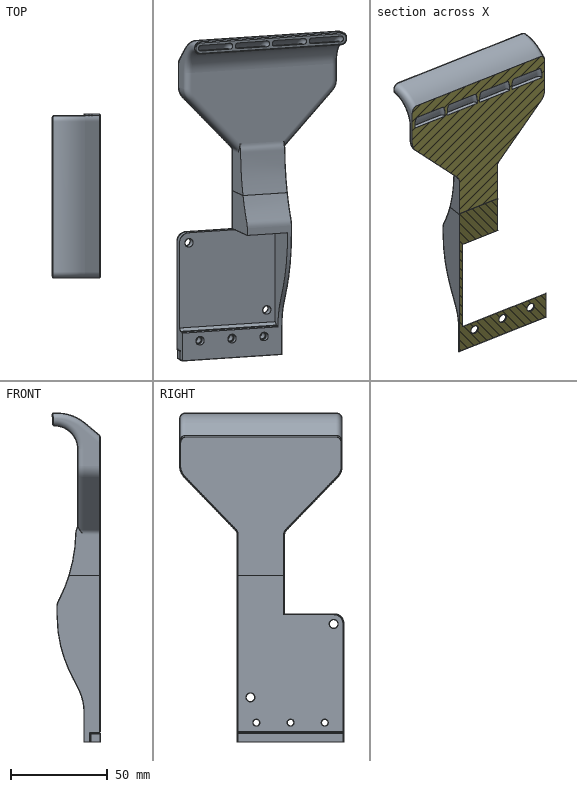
import cadquery as cq
import math


edge_chamfer = 0.5
clearance = 0.5
neck_width = 24.5
neck_center = neck_width / 2
split_height = 86.2

neck_depth = 12.7
neck_curve_radius = 78.2
neck_curve_top = 109.3
neck_curve_end = 73.0
crest_bottom = 69.9

bar_depth = 5.0
bar_height = 4.5

housing_width = 55.0
side_wall = 2.2
plate_depth = 4.5
plate_top = 66.3
plate_corner_radius = 5.0
belly_middle = (-14.5, 33.5)
foot_depth = 8.5
foot_top = 15.1
foot_slope = 1.5
plate_hole_diameter = 4.5
plate_hole_places = [(49.8, 61.0), (6.8, 23.1)]
screw_hole_diameter = 3.4
screw_hole_mouth = 4.5
screw_mouth_depth = foot_depth - bar_depth - clearance
screw_hole_pitch = 17.7
screw_hole_height = 10.0
screw_hole_count = 3

paddle_width = 84.0
paddle_depth = 11.7
paddle_bottom = 108.5
paddle_shoulder = 139.2
paddle_corner_radius = 8.3
round_edge = 3.0
stub_bottom = paddle_bottom - round_edge

step_top = 112.4
step_middle = 110.3
step_bottom = 107.8

nozzle_reach = 25.0
nozzle_top = 170.0
lip_center_height = 151.3
lip_inner_radius = 12.0
lip_outer_radius = 22.8
lip_slope = math.radians(40.0)
lip_back_height = 158.0

slot_count = 4
slot_pitch = 20.4
slot_length = 18.9
slot_height = 3.0
slot_path_radius = 15.3
slot_turn = 90.0
slot_lead = 10.0


def neck_front(height):
    """X of the neck's front curve at a height."""
    drop = neck_curve_top - height
    bulge = neck_curve_radius - math.sqrt(neck_curve_radius**2 - drop**2)
    return -neck_depth - bulge


def side_profile(y):
    """Sketch plane with local x along +X and local y along +Z, placed at y and facing -Y."""
    return cq.Workplane(cq.Plane(origin=(0, y, 0), xDir=(1, 0, 0), normal=(0, -1, 0)))


def front_outline(x):
    """Sketch plane with local x along +Y and local y along +Z, extruding toward +X from x."""
    return cq.Workplane(cq.Plane(origin=(x, 0, 0), xDir=(0, 1, 0), normal=(1, 0, 0)))


neck_end_sine = (neck_curve_top - neck_curve_end) / neck_curve_radius
crest_radius = (neck_curve_end - crest_bottom) / neck_end_sine
crest_x = neck_front(neck_curve_end) - crest_radius * (1 - math.sqrt(1 - neck_end_sine**2))


def make_neck_block():
    """Lower end of the neck, from the split down past the crest to the top of the plate."""
    middle = (split_height + neck_curve_end) / 2
    neck_end = (neck_front(neck_curve_end), neck_curve_end)
    return (
        side_profile(0)
        .moveTo(0, plate_top)
        .lineTo(0, split_height)
        .lineTo(neck_front(split_height), split_height)
        .threePointArc((neck_front(middle), middle), neck_end)
        .tangentArcPoint((crest_x, crest_bottom), relative=False)
        .lineTo(crest_x, plate_top)
        .close()
        .extrude(-neck_width)
    )


def make_side_wall():
    """Thin wall that carries the belly profile down to the foot."""
    straight_down = (0, -1)
    belly_points = [belly_middle, (-foot_depth, foot_top)]
    return (
        side_profile(0)
        .moveTo(0, 0)
        .lineTo(0, plate_top)
        .lineTo(crest_x, plate_top)
        .spline(belly_points, tangents=[straight_down, straight_down], includeCurrent=True)
        .lineTo(-foot_depth, 0)
        .close()
        .extrude(-side_wall)
    )


def make_plate():
    """Plate behind the side wall, with a sloped step down to the foot strip at its bottom."""
    plate = (
        side_profile(side_wall)
        .polyline([
            (0, 0),
            (0, plate_top),
            (-plate_depth, plate_top),
            (-plate_depth, foot_top + foot_slope),
            (-plate_depth - foot_slope, foot_top),
            (-foot_depth + edge_chamfer, foot_top),
            (-foot_depth, foot_top - edge_chamfer),
            (-foot_depth, 0),
        ])
        .close()
        .extrude(side_wall - housing_width)
    )
    far_corner = cq.selectors.NearestToPointSelector((-plate_depth / 2, housing_width, plate_top))
    return plate.edges("|X").edges(far_corner).fillet(plate_corner_radius)


def make_plate_holes():
    """Plain holes through two opposite corners of the plate."""
    return (
        front_outline(-foot_depth)
        .pushPoints(plate_hole_places)
        .circle(plate_hole_diameter / 2)
        .extrude(foot_depth)
    )


def make_screw_holes():
    """Row of holes through the foot strip, each stepped out to a wider mouth."""
    holes = cq.Workplane()
    for index in range(screw_hole_count):
        y = housing_width / 2 + (index - (screw_hole_count - 1) / 2) * screw_hole_pitch
        start = front_outline(-foot_depth).center(y, screw_hole_height)
        bore = start.circle(screw_hole_diameter / 2).extrude(foot_depth)
        mouth = start.circle(screw_hole_mouth / 2).extrude(screw_mouth_depth)
        holes = holes.add(bore).add(mouth)
    return holes.combine()


def make_housing():
    """Side wall, neck end and plate in one piece, with a rabbet for the bar along its bottom."""
    body = make_side_wall().union(make_neck_block()).union(make_plate())
    rabbet_depth = bar_depth + clearance
    rabbet_height = bar_height + clearance
    rabbet = cq.Workplane().box(rabbet_depth, housing_width, rabbet_height, centered=False)
    body = body.cut(rabbet.translate((-rabbet_depth, 0, 0)))
    body = body.faces(">X").edges("not(>Z)").chamfer(edge_chamfer)
    return body.cut(make_plate_holes()).cut(make_screw_holes())


def make_bar():
    """Bar that fills the rabbet, held clear of the housing and of its end faces."""
    bar = cq.Workplane().box(bar_depth, housing_width - 2 * clearance, bar_height, centered=False)
    return bar.translate((-bar_depth, clearance, 0))


def make_lip_profile():
    """Side profile of the paddle with its curved lip, as wide as the paddle."""
    inner_center_x = -paddle_depth - lip_inner_radius
    outer_center_z = nozzle_top - lip_outer_radius
    outer_center_x = (
        (lip_back_height - outer_center_z) * math.cos(lip_slope) - lip_outer_radius
    ) / math.sin(lip_slope)

    def outer_point(angle):
        """Point on the outer lip arc, at an angle from straight up toward +X."""
        return (
            outer_center_x + lip_outer_radius * math.sin(angle),
            outer_center_z + lip_outer_radius * math.cos(angle),
        )

    tip_angle = math.asin((-nozzle_reach - outer_center_x) / lip_outer_radius)
    tip_top = outer_point(tip_angle)
    tip_tilt = math.atan2(inner_center_x - tip_top[0], tip_top[1] - lip_center_height)
    tip_bottom = (
        inner_center_x - lip_inner_radius * math.sin(tip_tilt),
        lip_center_height + lip_inner_radius * math.cos(tip_tilt),
    )
    inner_middle = (
        inner_center_x + lip_inner_radius * math.sqrt(0.5),
        lip_center_height + lip_inner_radius * math.sqrt(0.5),
    )
    return (
        side_profile(neck_center - paddle_width / 2)
        .moveTo(0, stub_bottom)
        .lineTo(0, lip_back_height)
        .lineTo(*outer_point(lip_slope))
        .threePointArc(outer_point((lip_slope + tip_angle) / 2), tip_top)
        .lineTo(*tip_bottom)
        .threePointArc(inner_middle, (-paddle_depth, lip_center_height))
        .lineTo(-paddle_depth, stub_bottom)
        .close()
        .extrude(-paddle_width)
    )


def make_paddle_outline():
    """Front outline of the paddle, narrowing to a stub as wide as the neck."""
    near_y = neck_center - paddle_width / 2
    far_y = neck_center + paddle_width / 2
    outline = (
        front_outline(-nozzle_reach)
        .polyline([
            (0, stub_bottom),
            (0, paddle_bottom),
            (near_y, paddle_shoulder),
            (near_y, nozzle_top),
            (far_y, nozzle_top),
            (far_y, paddle_shoulder),
            (neck_width, paddle_bottom),
            (neck_width, stub_bottom),
        ])
        .close()
        .extrude(nozzle_reach)
    )

    def edges_at(height):
        """The two edges along X at a height."""
        band = cq.selectors.BoxSelector(
            (-nozzle_reach, near_y - 1.7, height - 0.2),
            (0, far_y + 1.7, height + 0.2),
        )
        return outline.edges("|X").edges(band)

    outline = edges_at(paddle_shoulder).fillet(paddle_corner_radius)
    return edges_at(paddle_bottom).fillet(round_edge)


def make_paddle():
    """Paddle with its curved lip and slots, rounded along its sides and sloped lower edges."""
    paddle = make_lip_profile().intersect(make_paddle_outline())
    front_middle = (-paddle_depth, neck_center, (paddle_shoulder + lip_center_height) / 2)
    front = paddle.faces(cq.selectors.NearestToPointSelector(front_middle))
    paddle = front.edges("|Z").fillet(round_edge)
    slope_direction = cq.Vector(math.sin(lip_slope), 0, math.cos(lip_slope))
    slope = paddle.faces(cq.selectors.ParallelDirSelector(slope_direction))
    paddle = slope.edges("not(|Y)").fillet(round_edge)
    paddle = paddle.faces("<X").edges().chamfer(edge_chamfer)
    return paddle.cut(make_slots())


def make_slots():
    """Row of round-ended slots that follow the bend of the lip from its end into the paddle."""
    bend_x = -paddle_depth - lip_inner_radius
    slots = cq.Workplane()
    for index in range(slot_count):
        y = neck_center + (index - (slot_count - 1) / 2) * slot_pitch
        slot = (
            front_outline(bend_x)
            .center(y, lip_center_height + slot_path_radius)
            .slot2D(slot_length, slot_height)
            .revolve(slot_turn + slot_lead, (-1.7, -slot_path_radius), (1.7, -slot_path_radius))
            .rotate((bend_x, 0, lip_center_height), (bend_x, 1, lip_center_height), -slot_lead)
        )
        slots = slots.add(slot)
    return slots.combine()


def make_neck():
    """Upper end of the neck, blended into the paddle front by two opposite arcs."""
    middle = (split_height + neck_curve_top) / 2
    step_slope = 2 * math.atan((neck_depth - paddle_depth) / (step_top - step_bottom))
    step_mid_x = -paddle_depth - (step_top - step_middle) * math.tan(step_slope / 2)
    return (
        side_profile(0)
        .moveTo(0, split_height)
        .lineTo(neck_front(split_height), split_height)
        .threePointArc((neck_front(middle), middle), (-neck_depth, step_bottom))
        .tangentArcPoint((step_mid_x, step_middle), relative=False)
        .tangentArcPoint((-paddle_depth, step_top), relative=False)
        .lineTo(0, step_top)
        .close()
        .extrude(-neck_width)
    )


def make_nozzle():
    """Paddle and neck in one piece, chamfered around the back."""
    body = make_paddle().union(make_neck())
    return body.faces(">X").edges("not(<Z)").chamfer(edge_chamfer)


nozzle = make_nozzle()
housing = make_housing()
bar = make_bar()
result = cq.Compound.makeCompound([nozzle.val(), housing.val(), bar.val()])